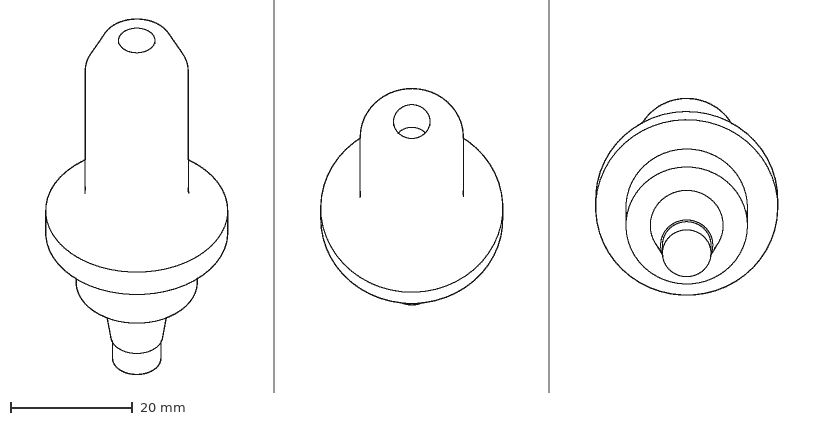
import cadquery as cq
import math


total_height = 71.0
tip_top = 5.0
taper_top = 17.0
flange_bottom = 28.0
flange_rim_top = 33.0
nose_length = 6.5

tip_diameter = 8.0
taper_small_diameter = 8.6
taper_large_diameter = 12.0
spigot_diameter = 20.0
flange_diameter = 30.0
shank_diameter = 17.0
nose_diameter = 11.0

flange_slope = 15.0
shank_root_radius = 3.0
nose_edge_radius = 1.0
nose_base_radius = 1.0

bore_diameter = 6.0
bore_depth = 10.0

nose_base = total_height - nose_length
slope_run = (flange_diameter - shank_diameter) / 2
shank_base = flange_rim_top + slope_run * math.tan(math.radians(flange_slope))


def circle_edge_at(diameter, height):
    """Select the circular edge of the given diameter at the given height."""
    radius = diameter / 2
    margin = 0.1
    return cq.selectors.BoxSelector(
        (-radius - margin, -radius - margin, height - margin),
        (radius + margin, radius + margin, height + margin),
        boundingbox=True,
    )


def turned_body():
    """Revolve the sharp-cornered half profile, given as (diameter, height)."""
    corners = [
        (0, 0),
        (tip_diameter, 0),
        (tip_diameter, tip_top),
        (taper_small_diameter, tip_top),
        (taper_large_diameter, taper_top),
        (spigot_diameter, taper_top),
        (spigot_diameter, flange_bottom),
        (flange_diameter, flange_bottom),
        (flange_diameter, flange_rim_top),
        (shank_diameter, shank_base),
        (shank_diameter, nose_base),
        (nose_diameter, total_height),
        (0, total_height),
    ]
    profile = [(diameter / 2, height) for diameter, height in corners]
    return cq.Workplane("XZ").polyline(profile).close().revolve(360, (0, 0), (0, 1))


def round_edges(body):
    """Round the shank root and both ends of the conical nose."""
    roundings = [
        (shank_diameter, shank_base, shank_root_radius),
        (shank_diameter, nose_base, nose_base_radius),
        (nose_diameter, total_height, nose_edge_radius),
    ]
    for diameter, height, radius in roundings:
        body = body.edges(circle_edge_at(diameter, height)).fillet(radius)
    return body


def bore():
    """Flat-bottomed bore running down from the nose face."""
    floor = total_height - bore_depth
    return cq.Workplane("XY").workplane(offset=floor).circle(bore_diameter / 2).extrude(bore_depth)


result = round_edges(turned_body()).cut(bore())